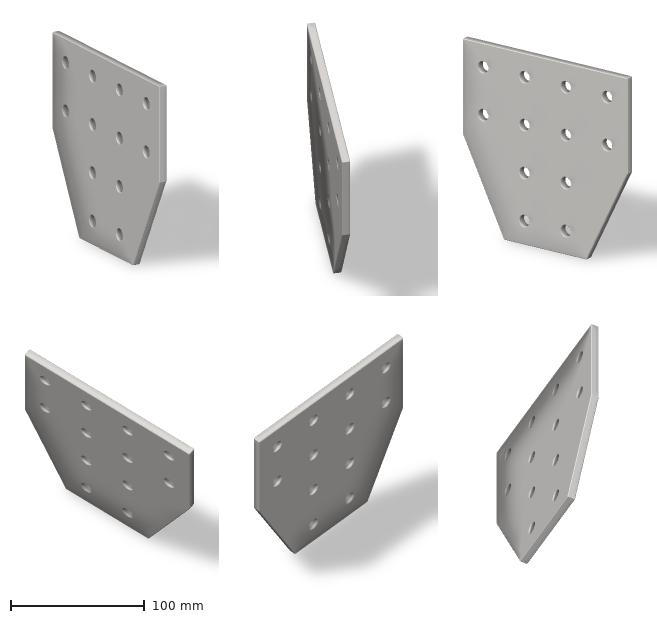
import cadquery as cq

plate_size = 152.0
thickness = 6.35
hole_pitch = 38.1
hole_diameter = 9.0
corner_radius = 0.5
edge_chamfer = 0.5
grid_count = 4
full_rows = 2

half_size = plate_size / 2
half_foot = hole_pitch


def back_plane():
    """Sketch plane on the +Y face; extrusions from it run toward -Y."""
    return cq.Workplane("XZ", origin=(0, thickness / 2, 0))


def make_plate():
    """Straight upper half tapering to a narrow lower end, with rounded corners."""
    outline = [
        (-half_size, half_size),
        (half_size, half_size),
        (half_size, 0),
        (half_foot, -half_size),
        (-half_foot, -half_size),
        (-half_size, 0),
    ]
    plate = back_plane().polyline(outline).close().extrude(thickness)
    return plate.edges("|Y").fillet(corner_radius)


def hole_centres():
    """Full rows of holes at the top; the lower rows keep only the inner columns."""
    middle = (grid_count - 1) / 2
    centres = []
    for row in range(grid_count):
        if row < full_rows:
            columns = range(grid_count)
        else:
            columns = range(1, grid_count - 1)
        for column in columns:
            x = (column - middle) * hole_pitch
            z = (middle - row) * hole_pitch
            centres.append((x, z))
    return centres


def make_hole_cutters():
    """Straight cylinders through the full plate thickness."""
    return (
        back_plane()
        .pushPoints(hole_centres())
        .circle(hole_diameter / 2)
        .extrude(thickness)
    )


def chamfer_face_edges(body):
    """Break the outline and hole mouths on one face, then on the opposite one."""
    for face in ("<Y", ">Y"):
        body = body.faces(face).edges().chamfer(edge_chamfer)
    return body


drilled_plate = make_plate().cut(make_hole_cutters())
result = chamfer_face_edges(drilled_plate)